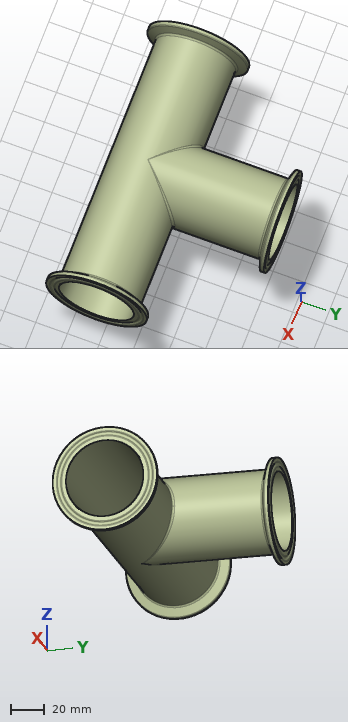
import cadquery as cq
import math

half_run = 171.5 / 2
overall_depth = 117.6
flange_radius = 64.0 / 2
branch_length = overall_depth - flange_radius

tube_radius = 50.7 / 2
bore_radius = 47.5 / 2
crotch_fillet = 1.4

rim_thickness = 2.7
taper_angle = math.radians(20)
flange_thickness = rim_thickness + (flange_radius - tube_radius) * math.tan(taper_angle)
rim_fillet = 0.7
neck_fillet = 1.4
stub_length = 8.5

groove_radius = 28.1
groove_depth = 0.7
groove_bottom_fillet = 1.5
groove_lip_fillet = 0.9


def tee_of_cylinders(radius):
    """Two equal solid cylinders, the run and the branch, joined as a tee."""
    run = cq.Workplane("YZ").circle(radius).extrude(half_run, both=True)
    branch = cq.Workplane("XZ").circle(radius).extrude(-branch_length)
    return run.union(branch)


def gasket_groove():
    """Groove ring around Z below the XY plane; each lip arc is tangent to the face and the bottom arc."""
    fillet_sum = groove_bottom_fillet + groove_lip_fillet
    arc_angle = math.acos(1 - groove_depth / fillet_sum)
    lip_offset = fillet_sum * math.sin(arc_angle)
    tangent_offset = groove_bottom_fillet * math.sin(arc_angle)
    tangent_height = groove_lip_fillet * (math.cos(arc_angle) - 1)
    lip_middle_offset = lip_offset - groove_lip_fillet * math.sin(arc_angle / 2)
    lip_middle_height = groove_lip_fillet * (math.cos(arc_angle / 2) - 1)
    return (
        cq.Workplane("XZ")
        .moveTo(groove_radius - lip_offset, 0)
        .threePointArc(
            (groove_radius - lip_middle_offset, lip_middle_height),
            (groove_radius - tangent_offset, tangent_height),
        )
        .threePointArc((groove_radius, -groove_depth), (groove_radius + tangent_offset, tangent_height))
        .threePointArc(
            (groove_radius + lip_middle_offset, lip_middle_height),
            (groove_radius + lip_offset, 0),
        )
        .close()
        .revolve(360, (0, 0), (0, 1))
    )


def clamp_flange():
    """Flange around Z with its face on the XY plane and a stub of tube below its tapered back."""
    blank = (
        cq.Workplane("XZ")
        .lineTo(flange_radius, 0)
        .lineTo(flange_radius, -rim_thickness)
        .lineTo(tube_radius, -flange_thickness)
        .lineTo(tube_radius, -stub_length)
        .lineTo(0, -stub_length)
        .close()
        .revolve(360, (0, 0), (0, 1))
    )
    rounded = blank.faces("%CONE").edges(">Z").fillet(rim_fillet)
    rounded = rounded.faces("%CONE").edges("<Z").fillet(neck_fillet)
    return rounded.cut(gasket_groove())


flange = clamp_flange()
left_flange = flange.rotate((0, 0, 0), (0, 1, 0), -90).translate((-half_run, 0, 0))
right_flange = flange.rotate((0, 0, 0), (0, 1, 0), 90).translate((half_run, 0, 0))
branch_flange = flange.rotate((0, 0, 0), (1, 0, 0), -90).translate((0, branch_length, 0))

outside = tee_of_cylinders(tube_radius).union(left_flange).union(right_flange).union(branch_flange)
outside = outside.edges("%ELLIPSE").fillet(crotch_fillet)

result = outside.cut(tee_of_cylinders(bore_radius))